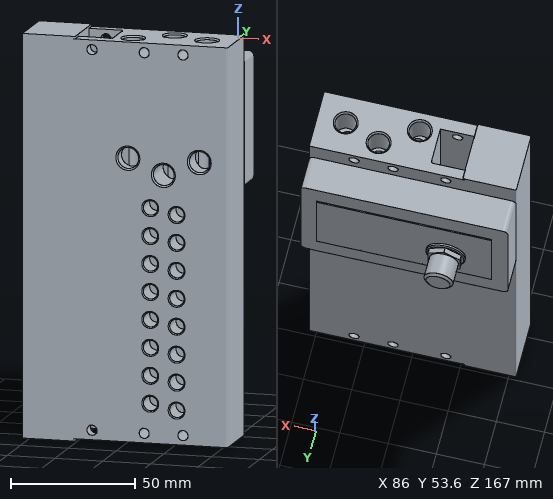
import cadquery as cq

WIDTH = 86.0
HEIGHT = 167.0
BLOCK_DEPTH = 25.4
EDGE_RADIUS = 0.7

COVER_WIDTH = 22.2
COVER_OVERHANG = 1.0

CHANNEL_RIGHT = 36.4
CHANNEL_FRONT = 5.3
CHANNEL_BACK = 21.0
CHANNEL_RADIUS = 1.0

MOUNT_DIAMETER = 4.2
MOUNT_X = (29.2, 51.1, 67.3)
MOUNT_END_DISTANCE = 5.0

SUPPLY_LINES = (
    (44.3, 45.3, 8.0, 118.0),
    (59.1, 59.1, 17.2, 111.9),
    (74.1, 73.3, 11.7, 118.0),
)
SUPPLY_DIAMETER = 8.7
SUPPLY_CHAMFER = 0.7
TOP_PORT_DEPTH = 13.4
GALLERY_DIAMETER = 6.0
FRONT_PORT_SHORTFALL = 2.0

WORK_COLUMNS = ((53.6, 17.4), (64.6, 15.2))
WORK_PER_COLUMN = 8
WORK_PITCH = 11.5
WORK_DIAMETER = 6.0
WORK_CHAMFER = 0.5
WORK_DEPTH = 10.0

HOUSING_DEPTH = 14.2
HOUSING_HEIGHT = 53.8
HOUSING_CENTER_Z = 129.8
HOUSING_RADIUS = 2.2
LABEL_WIDTH = 72.6
LABEL_HEIGHT = 34.7
LABEL_THICKNESS = 0.5

CONNECTOR_X = 25.5
CONNECTOR_Z = 126.8
WASHER_DIAMETER = 16.4
WASHER_THICKNESS = 1.3
WASHER_CHAMFER = 0.5
NUT_CORNER_DIAMETER = 15.4
NUT_THICKNESS = 2.2
PLUG_DIAMETER = 12.0
PLUG_LENGTH = 10.0
PLUG_CHAMFER = 1.0

HOUSING_BACK = BLOCK_DEPTH + HOUSING_DEPTH
LABEL_BACK = HOUSING_BACK + LABEL_THICKNESS
BODY_TOP = HEIGHT - COVER_OVERHANG


def back_plane(y, x, z):
    """Plane at depth y whose normal is +Y and whose local y axis is +Z."""
    return cq.Workplane(cq.Plane(origin=(x, y, z), xDir=(-1, 0, 0), normal=(0, 1, 0)))


def chamfered_hole(start, direction, diameter, depth, chamfer):
    """Cutting tool for a blind hole with a chamfered mouth."""
    radius = diameter / 2
    bore = cq.Solid.makeCylinder(radius, depth, start, direction)
    mouth = cq.Solid.makeCone(radius + chamfer, radius, chamfer, start, direction)
    return cq.Workplane(bore).union(cq.Workplane(mouth))


def manifold_block():
    cover = cq.Workplane().box(COVER_WIDTH, BLOCK_DEPTH, HEIGHT, centered=False)
    cover = cover.edges("|Z").fillet(EDGE_RADIUS)

    body_start = COVER_WIDTH / 2
    body = (
        cq.Workplane(origin=(body_start, 0, COVER_OVERHANG))
        .box(WIDTH - body_start, BLOCK_DEPTH, BODY_TOP - COVER_OVERHANG, centered=False)
        .edges("|Z and >X")
        .fillet(EDGE_RADIUS)
    )
    return cover.union(body)


def cable_channel():
    return (
        cq.Workplane(origin=(COVER_WIDTH, CHANNEL_FRONT, 0))
        .box(CHANNEL_RIGHT - COVER_WIDTH, CHANNEL_BACK - CHANNEL_FRONT, HEIGHT, centered=False)
        .edges("|Z and >X and >Y")
        .fillet(CHANNEL_RADIUS)
    )


def mounting_holes():
    centers = [
        (x, -z)
        for x in MOUNT_X
        for z in (MOUNT_END_DISTANCE, HEIGHT - MOUNT_END_DISTANCE)
    ]
    plane = cq.Plane(origin=(0, 0, 0), xDir=(1, 0, 0), normal=(0, 1, 0))
    return cq.Workplane(plane).pushPoints(centers).circle(MOUNT_DIAMETER / 2).extrude(BLOCK_DEPTH)


def supply_line(port_x, gallery_x, gallery_y, front_z):
    """Top port, front port and the full-height gallery that joins them."""
    gallery = (
        cq.Workplane(origin=(gallery_x, gallery_y, 0))
        .circle(GALLERY_DIAMETER / 2)
        .extrude(HEIGHT)
    )
    top_port = chamfered_hole(
        cq.Vector(port_x, gallery_y, BODY_TOP),
        cq.Vector(0, 0, -1),
        SUPPLY_DIAMETER,
        TOP_PORT_DEPTH,
        SUPPLY_CHAMFER,
    )
    front_port = chamfered_hole(
        cq.Vector(port_x, 0, front_z),
        cq.Vector(0, 1, 0),
        SUPPLY_DIAMETER,
        gallery_y - FRONT_PORT_SHORTFALL,
        SUPPLY_CHAMFER,
    )
    return gallery.union(top_port).union(front_port)


def working_port(x, z):
    return chamfered_hole(
        cq.Vector(x, 0, z), cq.Vector(0, 1, 0), WORK_DIAMETER, WORK_DEPTH, WORK_CHAMFER
    )


def electronics_housing():
    housing = (
        back_plane(BLOCK_DEPTH, WIDTH / 2, HOUSING_CENTER_Z)
        .rect(WIDTH, HOUSING_HEIGHT)
        .extrude(HOUSING_DEPTH)
        .edges("|Y")
        .fillet(HOUSING_RADIUS)
    )
    label = (
        back_plane(HOUSING_BACK, WIDTH / 2, HOUSING_CENTER_Z)
        .rect(LABEL_WIDTH, LABEL_HEIGHT)
        .extrude(LABEL_THICKNESS)
    )
    return housing.union(label)


def connector():
    nut_start = LABEL_BACK + WASHER_THICKNESS
    plug_start = nut_start + NUT_THICKNESS
    washer = (
        back_plane(LABEL_BACK, CONNECTOR_X, CONNECTOR_Z)
        .circle(WASHER_DIAMETER / 2)
        .extrude(WASHER_THICKNESS)
        .faces(">Y")
        .chamfer(WASHER_CHAMFER)
    )
    nut = (
        back_plane(nut_start, CONNECTOR_X, CONNECTOR_Z)
        .transformed(rotate=(0, 0, 90))
        .polygon(6, NUT_CORNER_DIAMETER)
        .extrude(NUT_THICKNESS)
    )
    plug = (
        back_plane(plug_start, CONNECTOR_X, CONNECTOR_Z)
        .circle(PLUG_DIAMETER / 2)
        .extrude(PLUG_LENGTH)
        .faces(">Y")
        .chamfer(PLUG_CHAMFER)
    )
    return washer.union(nut).union(plug)


result = manifold_block().cut(cable_channel()).cut(mounting_holes())

for line in SUPPLY_LINES:
    result = result.cut(supply_line(*line))

for column_x, lowest_z in WORK_COLUMNS:
    for index in range(WORK_PER_COLUMN):
        result = result.cut(working_port(column_x, lowest_z + index * WORK_PITCH))

result = result.union(electronics_housing()).union(connector())